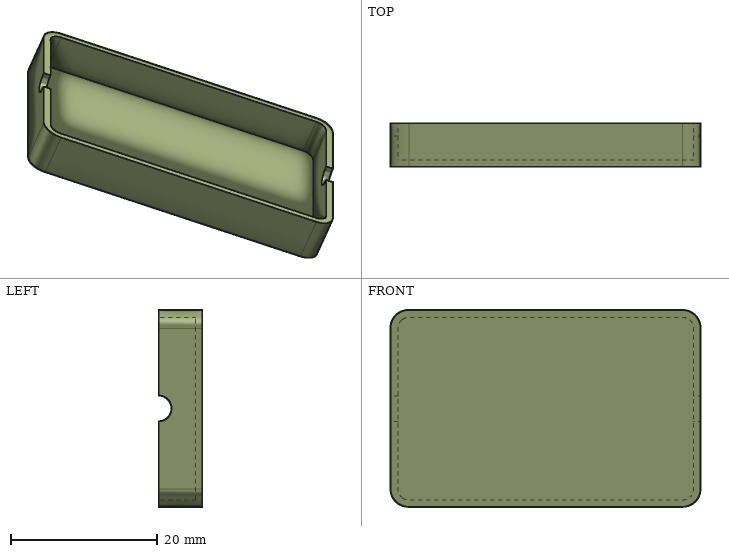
import cadquery as cq

length = 42.5
thickness = 6.0
height = 27.0
corner_radius = 2.5
wall = 1.0
notch_diameter = 3.5

rim_y = thickness / 2


def cover():
    """Rounded block centred on the origin, hollowed out from its open +Y side."""
    block = cq.Workplane("XY").box(length, thickness, height).edges("|Y").fillet(corner_radius)
    return block.faces(">Y").shell(-wall)


def notch_cutter():
    """Cylinder along X at mid-height, centred on the rim, reaching through both end walls."""
    return (
        cq.Workplane("YZ")
        .center(rim_y, 0)
        .circle(notch_diameter / 2)
        .extrude(length / 2, both=True)
    )


result = cover().cut(notch_cutter())